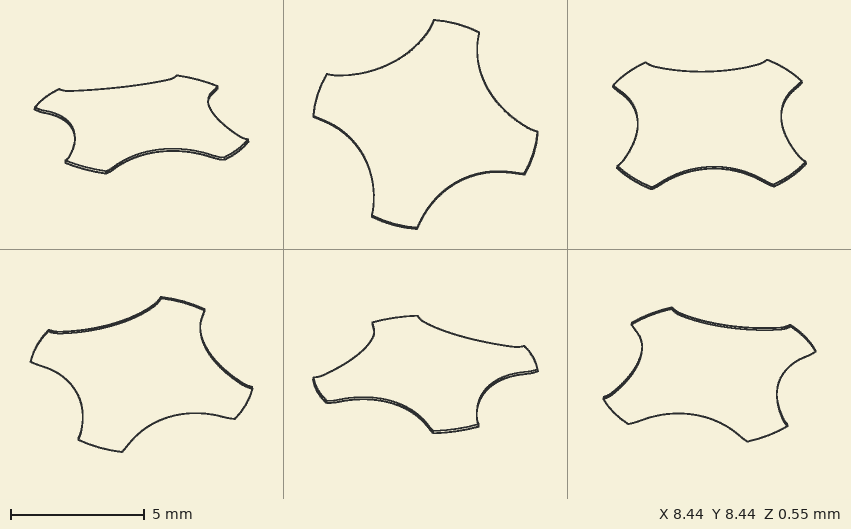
import cadquery as cq
import math

height = 0.55
thickness = 0.1
seam_radius = 3.8
trough_radius = 4.0
cutout_radius = 3.5
cutout_center = 4.375
cutouts_per_side = 2

lip_half_width = trough_radius - seam_radius
slope_angle = 2 * math.atan((height - thickness) / trough_radius)
dome_radius = seam_radius / math.sin(slope_angle)
lip_radius = lip_half_width / math.sin(slope_angle)
dome_center_z = height - dome_radius
lip_center_z = thickness + lip_radius


def dome_point(radius, angle):
    """Point (r, z) on a dome arc, with the angle measured from the part axis."""
    return radius * math.sin(angle), dome_center_z + radius * math.cos(angle)


def lip_point(radius, angle):
    """Point (r, z) on a lip arc, with the angle measured outward from its lowest point."""
    return trough_radius + radius * math.sin(angle), lip_center_z - radius * math.cos(angle)


def make_shell():
    """Thin domed disc with an upturned rim, revolved about Z."""
    inner_dome_radius = dome_radius - thickness
    outer_lip_radius = lip_radius + thickness
    profile = (
        cq.Workplane("XZ")
        .moveTo(*dome_point(dome_radius, 0))
        .threePointArc(dome_point(dome_radius, slope_angle / 2), dome_point(dome_radius, slope_angle))
        .threePointArc(lip_point(lip_radius, 0), lip_point(lip_radius, slope_angle))
        .lineTo(*lip_point(outer_lip_radius, slope_angle))
        .threePointArc(lip_point(outer_lip_radius, 0), lip_point(outer_lip_radius, -slope_angle))
        .threePointArc(dome_point(inner_dome_radius, slope_angle / 2), dome_point(inner_dome_radius, 0))
        .close()
    )
    return profile.revolve(360, (0, 0, 0), (0, 1, 0))


def make_cutouts():
    """Vertical cylinders on the diagonals that leave four arms along X and Y."""
    axis_spacing = 2 * cutout_center
    return (
        cq.Workplane("XY")
        .rarray(axis_spacing, axis_spacing, cutouts_per_side, cutouts_per_side)
        .circle(cutout_radius)
        .extrude(height)
    )


result = make_shell().cut(make_cutouts())